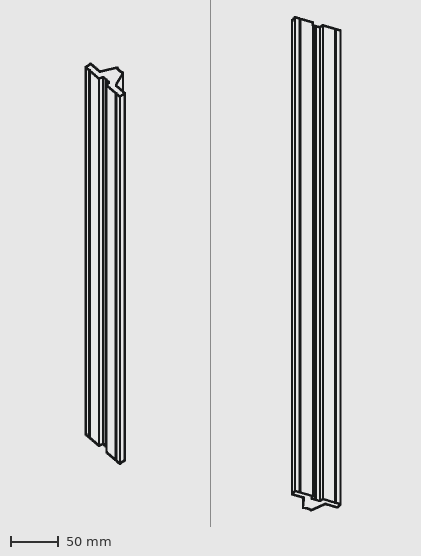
import cadquery as cq

length = 599.5
width = 54.0
depth = 24.5
flange_thickness = 7.0

rib_root_width = 25.0
rib_crest_width = 9.5
crest_hollow = 1.0

groove_mouth_width = 12.0
groove_floor_width = 9.5
groove_depth = 5.0

score_width = 1.0
score_depth = 0.5
score_edge_distance = 6.0

front = -depth / 2
crest = depth / 2
flange_back = front + flange_thickness
groove_floor = front + groove_depth


def rail_body():
    """Flange and rib, symmetric about X = 0."""
    return (
        cq.Workplane("XY")
        .moveTo(-rib_crest_width / 2, crest)
        .threePointArc((0, crest - crest_hollow), (rib_crest_width / 2, crest))
        .lineTo(rib_root_width / 2, flange_back)
        .lineTo(width / 2, flange_back)
        .lineTo(width / 2, front)
        .lineTo(-width / 2, front)
        .lineTo(-width / 2, flange_back)
        .lineTo(-rib_root_width / 2, flange_back)
        .close()
        .extrude(length)
    )


def groove():
    """Full-length tapered groove cutter."""
    return (
        cq.Workplane("XY")
        .moveTo(-groove_mouth_width / 2, front)
        .lineTo(groove_mouth_width / 2, front)
        .lineTo(groove_floor_width / 2, groove_floor)
        .lineTo(-groove_floor_width / 2, groove_floor)
        .close()
        .extrude(length)
    )


def score_line(x, surface_y):
    """Full-length V cutter, opening on a surface that faces -Y."""
    return (
        cq.Workplane("XY")
        .moveTo(x - score_width / 2, surface_y)
        .lineTo(x + score_width / 2, surface_y)
        .lineTo(x, surface_y + score_depth)
        .close()
        .extrude(length)
    )


score_x = width / 2 - score_edge_distance

rail = rail_body().cut(groove())
for x, surface_y in [(-score_x, front), (0, groove_floor), (score_x, front)]:
    rail = rail.cut(score_line(x, surface_y))

result = rail.translate((0, 0, -length / 2))